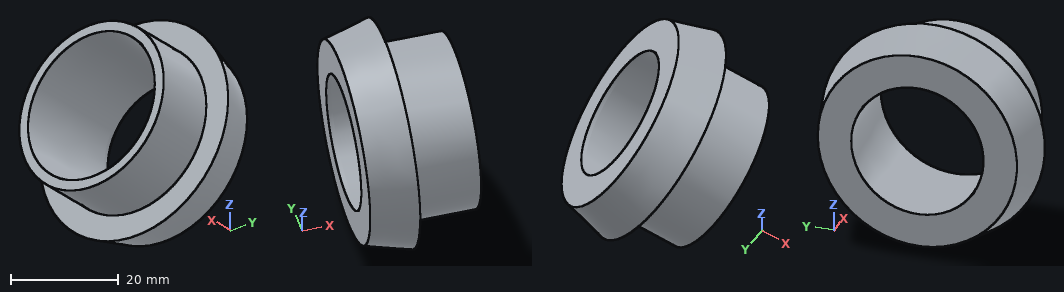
import cadquery as cq
import math

length = 22.0
flange_diameter = 44.0
flange_length = 8.98
flange_taper = 15.0
spigot_diameter = 33.8
bore_diameter = 25.95
land_length = 1.0
bore_taper = 5.0

front_x = -length / 2
back_x = length / 2
shoulder_x = front_x + flange_length
flange_radius = flange_diameter / 2
front_radius = flange_radius - flange_length * math.tan(math.radians(flange_taper))
spigot_radius = spigot_diameter / 2
bore_radius = bore_diameter / 2
land_x = front_x + land_length
back_bore_radius = bore_radius + (back_x - land_x) * math.tan(math.radians(bore_taper))

section = (
    cq.Workplane("XY")
    .moveTo(front_x, bore_radius)
    .lineTo(front_x, front_radius)
    .lineTo(shoulder_x, flange_radius)
    .lineTo(shoulder_x, spigot_radius)
    .lineTo(back_x, spigot_radius)
    .lineTo(back_x, back_bore_radius)
    .lineTo(land_x, bore_radius)
    .close()
)
result = section.revolve(360, (0, 0, 0), (1, 0, 0))